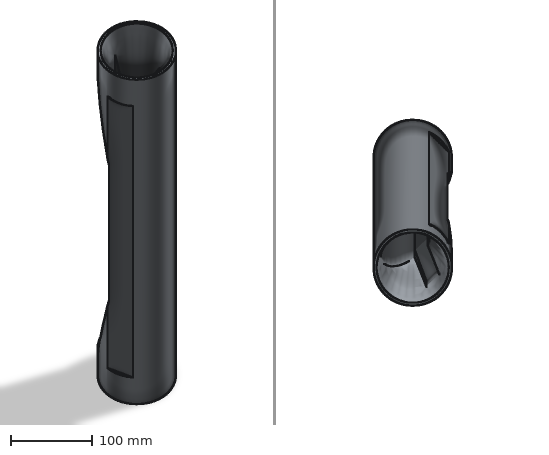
import cadquery as cq

length = 600.0
outer_diameter = 96.5
end_wall = 3.9

collar_length = 49.0
ramp_length = 125.0
ramp_outer_offset = 39.5
waist_offset = 15.5

side_flat_offset = 45.0

bore_radius = 30.0
bore_offset = 13.0
channel_width = 22.0
channel_depth = 35.5
skin = 0.25

outer_radius = outer_diameter / 2
half_length = length / 2
collar_z = half_length - collar_length
waist_z = collar_z - ramp_length
ramp_slope = (ramp_outer_offset - waist_offset) / ramp_length


def waist_cutter(inset):
    """Solid on the -X side bounded by the waist flat and ramps, moved by inset toward +X."""
    clear_x = -2 * outer_radius
    ramp_x = inset - ramp_outer_offset
    flat_x = inset - waist_offset
    outline = [
        (clear_x, -collar_z),
        (ramp_x, -collar_z),
        (flat_x, -waist_z),
        (flat_x, waist_z),
        (ramp_x, collar_z),
        (clear_x, collar_z),
    ]
    return cq.Workplane("XZ").polyline(outline).close().extrude(outer_radius, both=True)


def tube_blank():
    """Solid cylinder with the waist and the two side flats cut away."""
    blank = cq.Workplane("XY").circle(outer_radius).extrude(half_length, both=True)
    blank = blank.cut(waist_cutter(0))
    flat_cut_depth = outer_radius - side_flat_offset
    flat_center_y = side_flat_offset + flat_cut_depth / 2
    for side in (1, -1):
        flat_cutter = cq.Workplane("XY").box(outer_diameter, flat_cut_depth, 2 * collar_z)
        blank = blank.cut(flat_cutter.translate((0, side * flat_center_y, 0)))
    return blank


def end_cones():
    """Conical mouths at both ends, tapering inward at the same slope as the ramps."""
    mouth_radius = outer_radius - end_wall
    inner_radius = mouth_radius - ramp_slope * (half_length - waist_z)
    profile = [(0, waist_z), (inner_radius, waist_z), (mouth_radius, half_length), (0, half_length)]
    upper = cq.Workplane("XZ").polyline(profile).close().revolve(360, (0, 0, 0), (0, 1, 0))
    return upper.union(upper.mirror("XY"))


def cavity():
    """Offset through bore, end cones and -X channel, all kept behind the thin skin."""
    bore = cq.Workplane("XY").center(bore_offset, 0).circle(bore_radius).extrude(half_length, both=True)
    channel = (
        cq.Workplane("XY")
        .box(channel_depth, channel_width, length)
        .translate((-channel_depth / 2, 0, 0))
    )
    return bore.union(end_cones()).union(channel).cut(waist_cutter(skin))


result = tube_blank().cut(cavity())